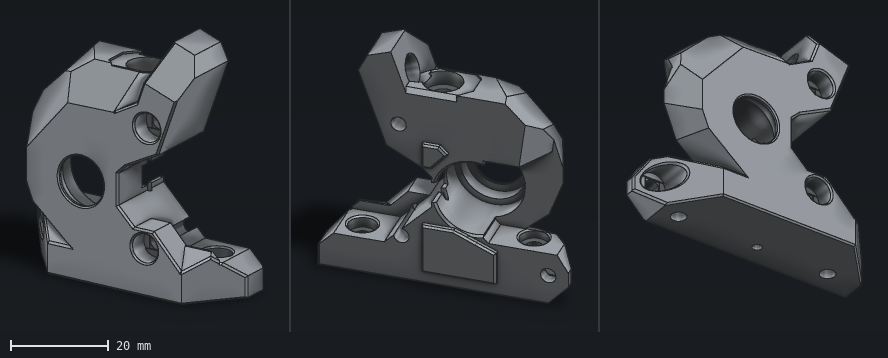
import cadquery as cq
import math

length = 54.05
depth = 17.1
plate_depth = 9.1
top_z = 45.9
left_foot_z = 12.05
ridge_z = 10.4
right_foot_z = 8.2
front_step_z = 7.05
lump_depth = 6.5
edge_chamfer = 0.45
base_chamfer = 0.4
reach = 81.1
along_y = (0, 1, 0)
down = (0, 0, -1)

axis_x = 20.45
axis_z = 21.9
bore_front_diameter = 11.0
bearing_diameter = 14.2
lip_depth = 0.8
lip_chamfer = 0.3
bearing_floor_y = 4.0
cavity_radius = 8.5
cavity_chamfer = 0.5
slot_end_x = 18.4
outlet_half_height = 2.4
slot_top_z = 31.45
slot_step = 1.15

head_diameter = 6.25
screw_diameter = 3.3
square_side = 3.4
bridge_layer = 0.2
rim_chamfer = 0.4
arm_screw = (36.6, 36.8, 4.3)
lump_screw = (36.0, 10.4, 4.3)
left_screw = (4.3, 6.85, 13.8)
left_foot_head_depth = 2.1
right_foot_head_depth = 2.65
foot_hole_y = 11.7


def prism(points, y_front, y_back):
    """Solid with an (x, z) outline, running along Y."""
    return cq.Workplane("XZ", origin=(0, y_back, 0)).polyline(points).close().extrude(y_back - y_front)


def cylinder(center, direction, diameter, height):
    return cq.Workplane(cq.Solid.makeCylinder(
        diameter / 2, height, cq.Vector(*center), cq.Vector(*direction)))


def cone(center, direction, diameter, end_diameter, height):
    return cq.Workplane(cq.Solid.makeCone(
        diameter / 2, end_diameter / 2, height, cq.Vector(*center), cq.Vector(*direction)))


def trim(body, a, b, c, keep):
    """Cut the body with the plane through a, b and c, keeping the side that holds the point keep."""
    origin = cq.Vector(*a)
    normal = (cq.Vector(*b) - origin).cross(cq.Vector(*c) - origin)
    if normal.dot(cq.Vector(*keep) - origin) > 0:
        normal = -normal
    block = cq.Workplane(cq.Plane(origin, normal=normal)).rect(2 * reach, 2 * reach).extrude(reach)
    return body.cut(block)


lobe_core = (axis_x, plate_depth, axis_z)
lobe_outline = [(0, top_z), (35.7, top_z), (34.0, 41.1), (28.65, 38.1), (28.65, 5.4), (0, 5.4)]
slope_front = (17.2, 0, 38.4)
left_front_top = (7.1, 0, 26.6)
left_front_low = (7.1, 0, 19.2)
left_mid_top = (3.75, plate_depth, 27.8)
left_mid_low = (3.75, plate_depth, 24.5)
under_front = (8.6, 0, 15.2)
under_mid = (7.1, plate_depth, 16.2)
notch_front = (18.05, 0, front_step_z)
crown_front = (15.1, 4.85, 43.3)
crown_left = (12.75, 6.4, 42.7)
crown_top = (18.8, 7.55, top_z)
crown_back = (14.0, 14.55, top_z)
shoulder = (6.7, 7.15, 37.3)
back_top = (13.6, depth, top_z)
back_shoulder = (9.3, depth, 41.7)
back_edge = (7.2, 12.65, 38.85)
back_low = (5.8, plate_depth, 34.4)
ledge_low = (28.45, 0, 38.6)
ledge_arm = (33.8, 5.45, 41.6)
saddle_top = (30.3, 7.35, top_z)

facets = [
    (slope_front, ledge_low, crown_top),
    (slope_front, left_front_top, shoulder),
    (crown_back, crown_top, crown_front),
    (back_top, back_shoulder, crown_left),
    (shoulder, left_mid_top, back_edge),
    (left_front_top, left_front_low, left_mid_top),
    (left_front_low, left_mid_low, under_front),
    (under_front, under_mid, notch_front),
    (ledge_low, saddle_top, ledge_arm),
]
lobe = prism(lobe_outline, 0, depth)
for corners in facets:
    lobe = trim(lobe, *corners, lobe_core)
front_half = prism([(-2.7, 0), (reach, 0), (reach, reach), (-2.7, reach)], 0, plate_depth)
rear_lobe = trim(lobe.cut(front_half), back_shoulder, back_edge, back_low, lobe_core)
lobe = lobe.intersect(front_half).union(rear_lobe)

arm_foot = (34.0, 41.75)
arm_tip = (38.3, 53.7)
arm_slope = cq.DirectionMinMaxSelector(cq.Vector(0.2, -1, 0.6), True)
frame_outline = [
    (22.7, 35.75), (28.45, 38.75), arm_foot, arm_tip, (43.45, 51.85), (45.3, 48.05), (39.25, 31.35),
    (31.45, 27.35), (29.45, 25.4), (29.45, 18.45), (40.2, 7.7), (40.2, 3.25), (22.7, 3.25),
]
frame = prism(frame_outline, 0, depth)
frame = trim(frame, (35.9, 0, 46.55), (43.5, 0, 43.85), (arm_tip[0], 7.4, arm_tip[1]), (32.45, depth, 32.45))
frame = frame.faces("<Y").edges("not >Z").add(frame.faces(arm_slope).edges("<X")).chamfer(edge_chamfer)

base_outline = [
    (0, 4.8), (4.6, 0), (length, 0), (length, 4.75), (48.45, ridge_z), (32.45, ridge_z),
    (32.45, left_foot_z), (2.45, left_foot_z), (0, 8.15),
]
base_core = (27.05, depth, 2.7)
base = prism(base_outline, 0, depth)
base = trim(base, (12.25, 0, 0), (12.25, 0, 0.55), (0, 14.75, 0), base_core)
base = trim(base, (45.1, 0, 0), (45.1, 0, 0.55), (length, 10.7, 0), base_core)
base = trim(base, (0, 0, front_step_z), (0.55, 0, front_step_z), (0, plate_depth, left_foot_z), base_core)
base = base.cut(prism([(35.15, right_foot_z), (reach, right_foot_z), (reach, 16.2), (35.15, 16.2)], lump_depth, reach))
base = base.cut(cylinder((left_screw[0], 0, left_screw[1]), along_y, head_diameter, left_screw[2]))
left_end = cq.DirectionMinMaxSelector(cq.Vector(-27.3, -22.7, 0), True)
base = base.faces(left_end).edges("not <Y").chamfer(base_chamfer)
right_end = cq.DirectionMinMaxSelector(cq.Vector(19.8, -16.6, 0), True)
base = base.faces(right_end).edges("not <Y").chamfer(base_chamfer)
base = base.faces("<Y").edges("<Z or >Z").chamfer(base_chamfer)
base = base.faces(">Y").edges("<Z or >X").chamfer(base_chamfer)

lump_outline = [(24.3, 2.7), (24.3, 14.5), (38.15, 14.5), (45.1, 7.05), (45.1, 2.7)]
lump = prism(lump_outline, 0, lump_depth).faces("<Y").edges().chamfer(edge_chamfer)

body = lobe.union(frame).union(base).union(lump)

pad_height = 18.4 - depth
pad_chamfer = 0.45


def pad(points):
    block = prism(points, depth - 0.55, depth + pad_height)
    return block.faces(">Y").edges().chamfer(pad_chamfer)


low_pad = pad([(15.25, 3.25), (31.3, 3.25), (31.3, 14.4), (24.3, 14.4), (19.45, 12.3), (15.25, 10.55)])
high_pad = pad([(27.55, 33.6), (31.3, 33.6), (31.3, 28.1), (29.2, 28.1), (25.8, 31.9)])
body = body.union(low_pad).union(high_pad)

cavity = cylinder((axis_x, bearing_floor_y, axis_z), along_y, 2 * cavity_radius, reach)
cavity_rim = cone((axis_x, depth, axis_z), (0, -1, 0), 2 * (cavity_radius + cavity_chamfer),
                  2 * cavity_radius, cavity_chamfer)
slot_outline = [
    (-2.7, left_foot_z), (slot_end_x - slot_step, left_foot_z), (slot_end_x, left_foot_z + slot_step),
    (slot_end_x, slot_top_z), (-2.7, slot_top_z),
]
slot = prism(slot_outline, plate_depth, reach)
outlet = cq.Workplane().box(16.2, reach, 2 * outlet_half_height).translate(
    (axis_x + 8.1, plate_depth + reach / 2, axis_z))
body = body.cut(cavity).cut(cavity_rim).cut(slot).cut(outlet)
body = body.cut(cylinder((axis_x, -0.55, axis_z), along_y, bore_front_diameter, plate_depth))
body = body.cut(cone((axis_x, 0, axis_z), along_y, bore_front_diameter + 2 * lip_chamfer,
                     bore_front_diameter, lip_chamfer))
body = body.cut(cylinder((axis_x, lip_depth, axis_z), along_y, bearing_diameter, plate_depth))


def front_screw(x, z, floor_y):
    head = cylinder((x, -0.55, z), along_y, head_diameter, floor_y + 0.55)
    step = cylinder((x, floor_y, z), along_y, head_diameter, bridge_layer)
    band = cq.Workplane().box(reach, reach, square_side).translate((x, floor_y, z))
    square = cq.Workplane().box(square_side, 4 * bridge_layer, square_side).translate((x, floor_y, z))
    shank = cylinder((x, 0, z), along_y, screw_diameter, reach)
    return head.union(step.intersect(band)).union(square).union(shank)


for x, z, floor_y in [arm_screw, lump_screw, left_screw]:
    body = body.cut(front_screw(x, z, floor_y))
for x, z, _ in [arm_screw, lump_screw]:
    body = body.cut(cone((x, 0, z), along_y, head_diameter + 2 * rim_chamfer, head_diameter, rim_chamfer))

foot_screws = [(9.2, left_foot_z, left_foot_head_depth), (46.15, right_foot_z, right_foot_head_depth)]
for x, z, head_depth in foot_screws:
    body = body.cut(cylinder((x, foot_hole_y, z), down, head_diameter, head_depth))
    body = body.cut(cylinder((x, foot_hole_y, z), down, square_side, reach))
    body = body.cut(cone((x, foot_hole_y, z), down, head_diameter + 2 * rim_chamfer,
                         head_diameter, rim_chamfer))

long_x = 28.75
long_y = 11.8
pocket_z = 45.45
washer_diameter = 8.45
washer_depth = 3.25
funnel_diameter = 5.0
funnel_depth = 4.3
long_screw_diameter = 2.1
pocket_left_x = 24.05
rear_chamfer = 1.05
pocket_outline = [(23.2, 7.25), (21.4, 9.0), (21.4, 14.15), (pocket_left_x, depth), (37.85, depth), (37.85, 7.25)]
pocket = cq.Workplane("XY", origin=(0, 0, pocket_z)).polyline(pocket_outline).close().extrude(1.1)
arm_side = prism([(16.2, 37.85), (32.65, 37.85), arm_foot, arm_tip, (16.2, arm_tip[1])], 0, depth)
washer_seat = cylinder((long_x, long_y, top_z), down, washer_diameter, top_z - pocket_z + washer_depth)
pocket = pocket.union(washer_seat).intersect(arm_side)
body = body.cut(pocket)
pocket_rear = cq.Workplane("YZ", origin=(pocket_left_x, 0, 0)).polyline(
    [(depth - rear_chamfer, pocket_z), (depth, pocket_z - rear_chamfer), (depth, pocket_z)]).close().extrude(16.2)
body = body.cut(pocket_rear.intersect(arm_side))
body = body.cut(cone((long_x, long_y, pocket_z - washer_depth), down, funnel_diameter,
                     long_screw_diameter, funnel_depth))
body = body.cut(cylinder((long_x, long_y, top_z), down, long_screw_diameter, reach))

arm_angle = math.atan2(arm_tip[1] - arm_foot[1], arm_tip[0] - arm_foot[0])
across_arm = (math.sin(arm_angle), 0, -math.cos(arm_angle))
tilted_screw = (35.7, 10.75, 46.5)
mouth_diameter = 6.7
tilted_diameter = 4.7
groove_length = 2.7
taper_length = 2.85
start = tuple(p - groove_length * d for p, d in zip(tilted_screw, across_arm))
body = body.cut(cylinder(start, across_arm, mouth_diameter, groove_length))
body = body.cut(cone(tilted_screw, across_arm, mouth_diameter, tilted_diameter, taper_length))
body = body.cut(cylinder(start, across_arm, tilted_diameter, 10.8))

result = body